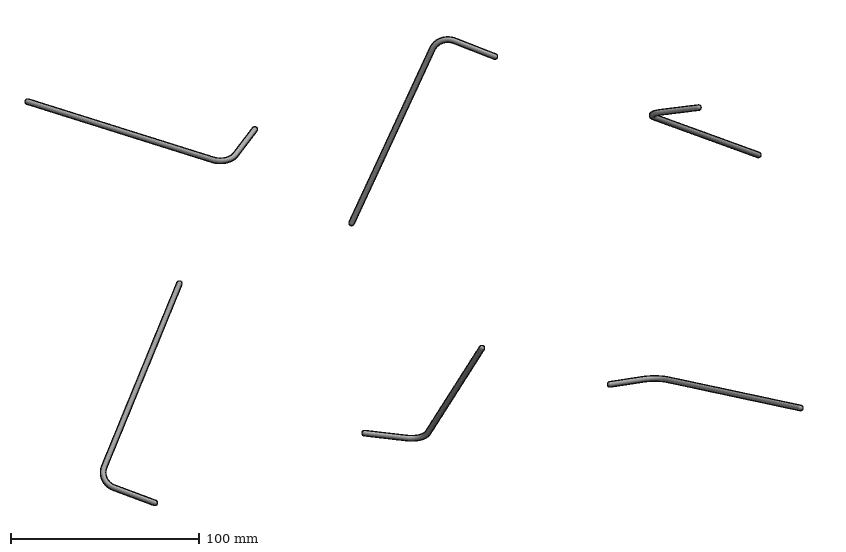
import cadquery as cq

overall_length = 121.5
overall_width = 35.4
rod_diameter = 3.0
bend_radius = 9.0

rod_radius = rod_diameter / 2

long_leg = overall_length - 2 * rod_radius - bend_radius
short_leg = overall_width - 2 * rod_radius - bend_radius


long_end = (0, 0)
bend_start = (long_leg, 0)
bend_end = (long_leg + bend_radius, bend_radius)
short_end = (bend_end[0], bend_radius + short_leg)

centreline = (
    cq.Workplane("XY")
    .moveTo(*long_end)
    .lineTo(*bend_start)
    .tangentArcPoint(bend_end, relative=False)
    .lineTo(*short_end)
)

result = cq.Workplane("YZ").circle(rod_radius).sweep(centreline)

for tip in (long_end, short_end):
    result = result.union(cq.Workplane("XY").center(*tip).sphere(rod_radius))